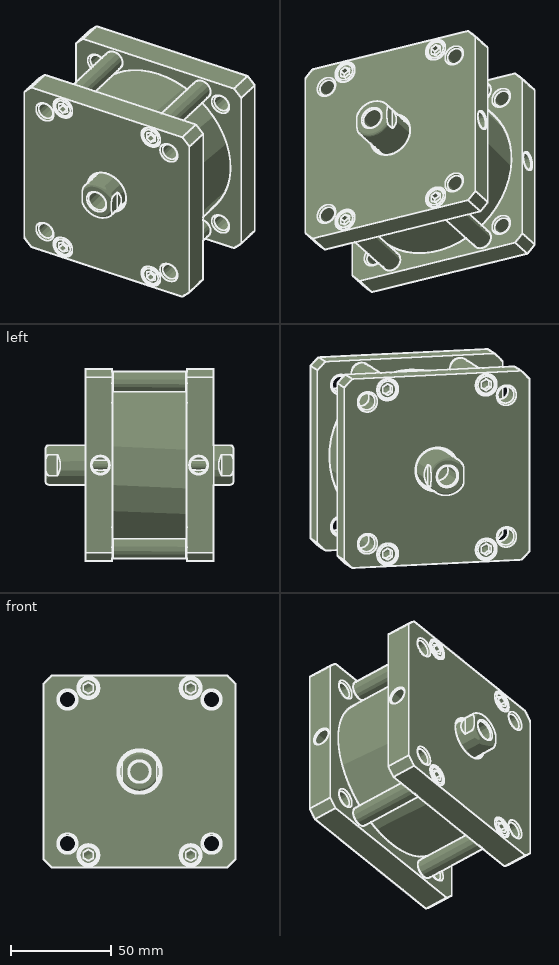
import cadquery as cq
import math


PLATE_SIDE = 96.0
PLATE_TURNED_DIAMETER = 130.0
PLATE_THICKNESS = 13.3
BODY_LENGTH = 64.0
OUTER_FACE = BODY_LENGTH / 2
INNER_FACE = OUTER_FACE - PLATE_THICKNESS

MOUNT_OFFSET = 36.0
MOUNT_DIAMETER = 8.4
MOUNT_RIM_DIAMETER = 10.3

PORT_DIAMETER = 8.5
PORT_RIM_DIAMETER = 9.6
PORT_DEPTH = 11.7
PORT_SETBACK = 7.5
DRILL_POINT_ANGLE = 118.0

BARREL_DIAMETER = 84.0
BORE_DIAMETER = 80.0
BARREL_CHAMFER = 0.2

ROD_DIAMETER = 20.0
ROD_FRONT_REACH = 10.0
ROD_BACK_REACH = 20.0
ROD_END_RADIUS = 1.8
ROD_FLATS_WIDTH = 17.0
ROD_FLAT_LENGTH = 6.0
ROD_FLAT_DEPTH = (ROD_DIAMETER - ROD_FLATS_WIDTH) / 2
ROD_THREAD_DIAMETER = 10.1
ROD_THREAD_RIM_DIAMETER = 11.4
ROD_THREAD_DEPTH = 17.3
ROD_THREAD_POINT_ANGLE = 168.0

ROD_RECESS_DIAMETER = 21.9
ROD_RECESS_RIM_DIAMETER = 22.5
ROD_RECESS_DEPTH = 1.9
ROD_THROAT_DIAMETER = 20.6
ROD_THROAT_DEPTH = 3.8

TIE_X = 25.5
TIE_Z = 41.8
TIE_DIAMETER = 10.1
TIE_COLUMN_CHAMFER = 0.5
TIE_NECK_DIAMETER = 6.9
TIE_HEAD_HEIGHT = 7.7
TIE_HEAD_TOP_DIAMETER = 8.5
TIE_SEAT_DIAMETER = 10.5
TIE_SEAT_RIM_DIAMETER = 11.1
TIE_SOCKET_WIDTH = 5.0
TIE_SOCKET_DEPTH = 3.8

PIN_DIAMETER = 5.0
PIN_X = -36.5
PIN_END_GAP = 1.9
PIN_LENGTH = BODY_LENGTH - 2 * PIN_END_GAP

FRONT = cq.Vector(0, -1, 0)
BACK = cq.Vector(0, 1, 0)
RIGHT = cq.Vector(1, 0, 0)


def corners(x, z):
    """The four points (+-x, +-z) in the XZ plane."""
    return [(sx * x, sz * z) for sx in (-1, 1) for sz in (-1, 1)]


def cylinder(diameter, y_start, y_end, x=0, z=0):
    """A cylinder along Y between two Y positions."""
    start = cq.Vector(x, y_start, z)
    return cq.Workplane(cq.Solid.makeCylinder(diameter / 2, y_end - y_start, start, BACK))


def rim_cut(rim_diameter, hole_diameter, center, inward):
    """A 45 degree chamfer cutter that narrows from the rim to the hole."""
    depth = (rim_diameter - hole_diameter) / 2
    cone = cq.Solid.makeCone(rim_diameter / 2, hole_diameter / 2, depth, center, inward)
    return cq.Workplane(cone)


def pointed_cut(diameter, depth, point_angle, center, inward):
    """A blind hole cutter with a conical bottom beyond the given depth."""
    point_depth = diameter / 2 / math.tan(math.radians(point_angle / 2))
    bore = cq.Workplane(cq.Solid.makeCylinder(diameter / 2, depth, center, inward))
    bottom = center + inward * depth
    point = cq.Solid.makeCone(diameter / 2, 0, point_depth, bottom, inward)
    return bore.union(cq.Workplane(point))


def mirrored_to_back(shape):
    return shape.mirror("XZ")


def make_pin():
    return cylinder(PIN_DIAMETER, -PIN_LENGTH / 2, PIN_LENGTH / 2, x=PIN_X)


def make_front_plate():
    plate = cq.Workplane("XY").box(PLATE_SIDE, PLATE_THICKNESS, PLATE_SIDE)
    plate = plate.translate((0, -(INNER_FACE + OUTER_FACE) / 2, 0))
    plate = plate.intersect(cylinder(PLATE_TURNED_DIAMETER, -OUTER_FACE, -INNER_FACE))

    for x, z in corners(MOUNT_OFFSET, MOUNT_OFFSET):
        outer_rim = cq.Vector(x, -OUTER_FACE, z)
        inner_rim = cq.Vector(x, -INNER_FACE, z)
        plate = plate.cut(cylinder(MOUNT_DIAMETER, -OUTER_FACE, -INNER_FACE, x, z))
        plate = plate.cut(rim_cut(MOUNT_RIM_DIAMETER, MOUNT_DIAMETER, outer_rim, BACK))
        plate = plate.cut(rim_cut(MOUNT_RIM_DIAMETER, MOUNT_DIAMETER, inner_rim, FRONT))

    for x, z in corners(TIE_X, TIE_Z):
        seat_bottom = -OUTER_FACE + TIE_HEAD_HEIGHT
        plate = plate.cut(cylinder(TIE_NECK_DIAMETER, -OUTER_FACE, -INNER_FACE, x, z))
        plate = plate.cut(cylinder(TIE_SEAT_DIAMETER, -OUTER_FACE, seat_bottom, x, z))
        rim = cq.Vector(x, -OUTER_FACE, z)
        plate = plate.cut(rim_cut(TIE_SEAT_RIM_DIAMETER, TIE_SEAT_DIAMETER, rim, BACK))

    recess_bottom = -OUTER_FACE + ROD_RECESS_DEPTH
    throat_bottom = -OUTER_FACE + ROD_THROAT_DEPTH
    rim = cq.Vector(0, -OUTER_FACE, 0)
    plate = plate.cut(cylinder(ROD_DIAMETER, -OUTER_FACE, -INNER_FACE))
    plate = plate.cut(cylinder(ROD_THROAT_DIAMETER, -OUTER_FACE, throat_bottom))
    plate = plate.cut(cylinder(ROD_RECESS_DIAMETER, -OUTER_FACE, recess_bottom))
    plate = plate.cut(rim_cut(ROD_RECESS_RIM_DIAMETER, ROD_RECESS_DIAMETER, rim, BACK))

    mouth = cq.Vector(-PLATE_SIDE / 2, -OUTER_FACE + PORT_SETBACK, 0)
    plate = plate.cut(pointed_cut(PORT_DIAMETER, PORT_DEPTH, DRILL_POINT_ANGLE, mouth, RIGHT))
    plate = plate.cut(rim_cut(PORT_RIM_DIAMETER, PORT_DIAMETER, mouth, RIGHT))
    return plate.cut(make_pin())


def make_barrel():
    outside = cylinder(BARREL_DIAMETER, -INNER_FACE, INNER_FACE)
    outside = outside.faces("<Y or >Y").edges().chamfer(BARREL_CHAMFER)
    return outside.cut(cylinder(BORE_DIAMETER, -INNER_FACE, INNER_FACE))


def rod_flat_cut(rod_end, inward):
    """Cutter for the +X wrench flat at a rod end, with a 45 degree shoulder."""
    flat_x = ROD_FLATS_WIDTH / 2
    rod_x = ROD_DIAMETER / 2
    profile = [
        (flat_x, rod_end),
        (flat_x, rod_end + inward * ROD_FLAT_LENGTH),
        (rod_x, rod_end + inward * (ROD_FLAT_LENGTH + ROD_FLAT_DEPTH)),
        (rod_x, rod_end),
    ]
    return cq.Workplane("XY").polyline(profile).close().extrude(ROD_DIAMETER / 2, both=True)


def make_rod():
    front_end = -OUTER_FACE - ROD_FRONT_REACH
    back_end = OUTER_FACE + ROD_BACK_REACH
    rod = cylinder(ROD_DIAMETER, front_end, back_end)
    rod = rod.faces("<Y or >Y").edges().fillet(ROD_END_RADIUS)
    for rod_end, inward in ((front_end, 1), (back_end, -1)):
        flat = rod_flat_cut(rod_end, inward)
        rod = rod.cut(flat).cut(flat.mirror("YZ"))
        rim = cq.Vector(0, rod_end, 0)
        axis = BACK * inward
        rod = rod.cut(pointed_cut(ROD_THREAD_DIAMETER, ROD_THREAD_DEPTH, ROD_THREAD_POINT_ANGLE, rim, axis))
        rod = rod.cut(rim_cut(ROD_THREAD_RIM_DIAMETER, ROD_THREAD_DIAMETER, rim, axis))
    return rod


def make_tie_head(x, z):
    """Front head of a tie rod, with a chamfered top and a hexagon socket."""
    seat_bottom = -OUTER_FACE + TIE_HEAD_HEIGHT
    chamfer = (TIE_DIAMETER - TIE_HEAD_TOP_DIAMETER) / 2
    head = cylinder(TIE_DIAMETER, -OUTER_FACE, seat_bottom, x, z)
    head = head.faces("<Y").chamfer(chamfer)

    corner_radius = TIE_SOCKET_WIDTH / math.sqrt(3)
    angles = [math.radians(30 + 60 * i) for i in range(6)]
    outline = [(x + corner_radius * math.cos(a), z + corner_radius * math.sin(a)) for a in angles]
    hexagon = cq.Workplane("XZ", origin=(0, -OUTER_FACE, 0)).polyline(outline).close()
    center = cq.Vector(x, -OUTER_FACE, z)
    pointed = pointed_cut(2 * corner_radius, TIE_SOCKET_DEPTH, DRILL_POINT_ANGLE, center, BACK)
    return head.cut(hexagon.extrude(-TIE_HEAD_HEIGHT).intersect(pointed))


def make_tie_rod(x, z):
    column = cylinder(TIE_DIAMETER, -INNER_FACE, INNER_FACE, x, z)
    column = column.faces("<Y or >Y").edges().chamfer(TIE_COLUMN_CHAMFER)
    head = make_tie_head(x, z)
    neck_end = OUTER_FACE - TIE_HEAD_HEIGHT
    for piece in (
        cylinder(TIE_NECK_DIAMETER, -neck_end, -INNER_FACE, x, z),
        cylinder(TIE_NECK_DIAMETER, INNER_FACE, neck_end, x, z),
        head,
        mirrored_to_back(head),
    ):
        column = column.union(piece)
    return column


front_plate = make_front_plate()
back_plate = mirrored_to_back(front_plate)
barrel = make_barrel()
piston_rod = make_rod()
guide_pin = make_pin()
tie_rods = [make_tie_rod(x, z) for x, z in corners(TIE_X, TIE_Z)]

result = cq.Compound.makeCompound([
    front_plate.val(),
    back_plate.val(),
    barrel.val(),
    piston_rod.val(),
    guide_pin.val(),
    *[tie_rod.val() for tie_rod in tie_rods],
])